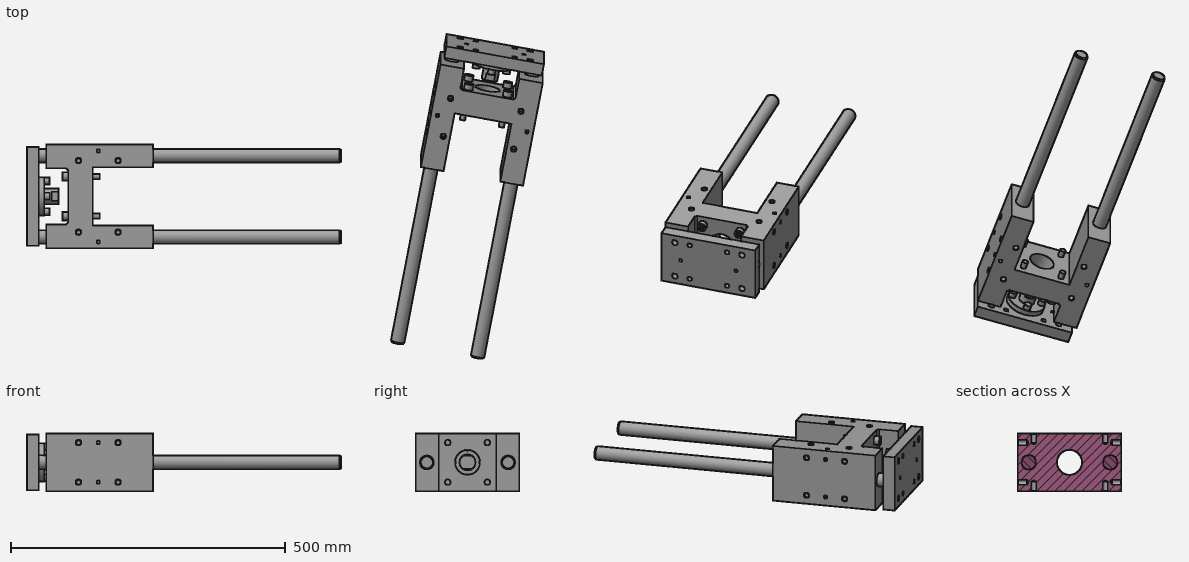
import cadquery as cq


HOUSING_START = 35.0
HOUSING_LENGTH = 194.5
HOUSING_WIDTH = 189.0
HOUSING_HEIGHT = 105.0
HOUSING_END = HOUSING_START + HOUSING_LENGTH
WEB_START = 75.0
WEB_THICKNESS = 45.0
WEB_END = WEB_START + WEB_THICKNESS
FRONT_POCKET_WIDTH = 102.0
REAR_POCKET_WIDTH = 105.0
POCKET_CHAMFER = 4.0
WEB_BORE_DIAMETER = 45.0

BOLT_PITCH = 72.0
MOUNT_CENTRE_X = 129.5
COUNTERSINK_DIAMETER = 10.0
THREAD_DIAMETER = 8.5
COUNTERSINK_DEPTH = 1.0
THREAD_DEPTH = 17.0
DRILL_TIP_LENGTH = 2.0
TOP_THREAD_Y = 65.0
DOWEL_DIAMETER = 6.0
DOWEL_DEPTH = 8.5
TOP_DOWEL_Y = 83.0

SCREW_HEAD_DIAMETER = 16.0
SCREW_HEAD_LENGTH = 10.0
SCREW_SHANK_DIAMETER = 10.0
SCREW_END_LENGTH = 12.5
SOCKET_SIDES = 6
SOCKET_DIAMETER = 9.0
SOCKET_DEPTH = 5.0

PLATE_THICKNESS = 21.5
PLATE_WIDTH = 180.5
PLATE_HEIGHT = 102.0
PLATE_OUTER_HOLE_DIAMETER = 11.0
PLATE_OUTER_HOLE_Y = 64.5
PLATE_INNER_HOLE_DIAMETER = 8.5
PLATE_DOWEL_DIAMETER = 5.5
PLATE_DOWEL_Y = 53.0
ROD_DIAMETER = 25.0
ROD_SPACING = 148.0
ROD_END = 571.0
ROD_CHAMFER_LENGTH = 3.0
ROD_CHAMFER_INSET = 1.5
FLANGE_DIAMETER = 70.0
FLANGE_THICKNESS = 9.5
FLANGE_SCREW_RADIUS = 28.0
FLANGE_SCREW_COUNT = 4
FLANGE_SCREW_DIAMETER = 13.0
FLANGE_SCREW_LENGTH = 9.5
HUB_DIAMETER = 29.0
HUB_LENGTH = 26.0
FLAT_LENGTH = 12.5
FLATS_WIDTH = 24.0

ROD_POINTS = [(-ROD_SPACING / 2, 0), (ROD_SPACING / 2, 0)]
BOLT_POINTS = [(y * BOLT_PITCH / 2, z * BOLT_PITCH / 2) for y in (-1, 1) for z in (-1, 1)]


def cross_plane(x):
    """Workplane normal to X whose local axes are Y and Z."""
    return cq.Workplane("YZ", origin=(x, 0, 0))


def bars_along_x(start, end, diameter, points):
    """Round bars along X, one at each (Y, Z) point."""
    return cross_plane(start).pushPoints(points).circle(diameter / 2).extrude(end - start)


def outer_face(origin, normal):
    """Workplane on an outer face of the housing, with its local X along X."""
    return cq.Workplane(cq.Plane(origin=origin, xDir=(1, 0, 0), normal=normal))


def block_along_x(start, end, width, height):
    """Block centred on the X axis."""
    return cross_plane(start).rect(width, height).extrude(end - start)


def drill(plane, points, diameter, depth):
    """Round tool sunk below an outward-facing workplane."""
    return plane.pushPoints(points).circle(diameter / 2).extrude(-depth)


def taper(plane, points, depth, diameter, tip_diameter, length):
    """Conical tool that starts at a depth below a workplane and narrows inward."""
    cone = cq.Solid.makeCone(diameter / 2, tip_diameter / 2, length, dir=cq.Vector(0, 0, -1))
    starts = plane.workplane(offset=-depth).pushPoints(points)
    return starts.eachpoint(lambda place: cone.moved(place), useLocalCoordinates=True)


def housing_block():
    """H-shaped block with its rod bores and the bore through the web."""
    front_pocket = block_along_x(HOUSING_START, WEB_START, FRONT_POCKET_WIDTH, HOUSING_HEIGHT)
    front_pocket = front_pocket.edges("|Z and >X").chamfer(POCKET_CHAMFER)
    rear_pocket = block_along_x(WEB_END, HOUSING_END, REAR_POCKET_WIDTH, HOUSING_HEIGHT)
    block = block_along_x(HOUSING_START, HOUSING_END, HOUSING_WIDTH, HOUSING_HEIGHT)
    block = block.cut(front_pocket).cut(rear_pocket)
    block = block.cut(bars_along_x(HOUSING_START, HOUSING_END, ROD_DIAMETER, ROD_POINTS))
    return block.cut(bars_along_x(WEB_START, WEB_END, WEB_BORE_DIAMETER, [(0, 0)]))


def cut_mounting_holes(block, plane, thread_offset, dowel_offset):
    """Four threaded holes and two dowel holes in one outer face."""
    thread_points = [
        (MOUNT_CENTRE_X + along * BOLT_PITCH / 2, across * thread_offset)
        for along in (-1, 1)
        for across in (-1, 1)
    ]
    dowel_points = [(MOUNT_CENTRE_X, across * dowel_offset) for across in (-1, 1)]
    thread_bores = drill(plane, thread_points, THREAD_DIAMETER, THREAD_DEPTH)
    countersinks = taper(plane, thread_points, 0, COUNTERSINK_DIAMETER, THREAD_DIAMETER, COUNTERSINK_DEPTH)
    drill_tips = taper(plane, thread_points, THREAD_DEPTH, THREAD_DIAMETER, 0, DRILL_TIP_LENGTH)
    block = block.cut(thread_bores).cut(countersinks).cut(drill_tips)
    return block.cut(drill(plane, dowel_points, DOWEL_DIAMETER, DOWEL_DEPTH))


def web_screws():
    """Socket screws: a head in front of the web and a threaded end behind it."""
    head_start = WEB_START - SCREW_HEAD_LENGTH
    heads = bars_along_x(head_start, WEB_START, SCREW_HEAD_DIAMETER, BOLT_POINTS)
    socket_outlines = cross_plane(head_start).pushPoints(BOLT_POINTS).polygon(SOCKET_SIDES, SOCKET_DIAMETER)
    sockets = socket_outlines.extrude(SOCKET_DEPTH)
    ends = bars_along_x(WEB_END, WEB_END + SCREW_END_LENGTH, SCREW_SHANK_DIAMETER, BOLT_POINTS)
    return heads.cut(sockets), ends


def make_housing():
    """Block with the same mounting holes on opposite faces, joined to its web screws."""
    body = housing_block()
    for side in (-1, 1):
        level_face = outer_face((0, 0, side * HOUSING_HEIGHT / 2), (0, 0, side))
        upright_face = outer_face((0, side * HOUSING_WIDTH / 2, 0), (0, side, 0))
        body = cut_mounting_holes(body, level_face, TOP_THREAD_Y, TOP_DOWEL_Y)
        body = cut_mounting_holes(body, upright_face, BOLT_PITCH / 2, BOLT_PITCH / 2)
    for screw_part in web_screws():
        body = body.union(screw_part)
    return body


def front_plate():
    """Plate with rows of through holes."""
    outer_points = [(y * PLATE_OUTER_HOLE_Y, z * BOLT_PITCH / 2) for y in (-1, 1) for z in (-1, 1)]
    dowel_points = [(-PLATE_DOWEL_Y, 0), (PLATE_DOWEL_Y, 0)]
    plate = block_along_x(0, PLATE_THICKNESS, PLATE_WIDTH, PLATE_HEIGHT)
    plate = plate.cut(bars_along_x(0, PLATE_THICKNESS, PLATE_OUTER_HOLE_DIAMETER, outer_points))
    plate = plate.cut(bars_along_x(0, PLATE_THICKNESS, PLATE_INNER_HOLE_DIAMETER, BOLT_POINTS))
    return plate.cut(bars_along_x(0, PLATE_THICKNESS, PLATE_DOWEL_DIAMETER, dowel_points))


def guide_rod(y):
    """Guide rod with a tapered free end, turned about its own axis."""
    radius = ROD_DIAMETER / 2
    return (
        cq.Workplane("XY", origin=(0, y, 0))
        .moveTo(PLATE_THICKNESS, 0)
        .lineTo(PLATE_THICKNESS, radius)
        .lineTo(ROD_END - ROD_CHAMFER_LENGTH, radius)
        .lineTo(ROD_END, radius - ROD_CHAMFER_INSET)
        .lineTo(ROD_END, 0)
        .close()
        .revolve(360, (0, 0, 0), (1, 0, 0))
    )


def coupling():
    """Flange with four screw heads and a hub that has two spanner flats at its end."""
    flange_end = PLATE_THICKNESS + FLANGE_THICKNESS
    hub_end = flange_end + HUB_LENGTH
    flats_start = hub_end - FLAT_LENGTH
    flange = bars_along_x(PLATE_THICKNESS, flange_end, FLANGE_DIAMETER, [(0, 0)])
    screw_heads = (
        cross_plane(flange_end)
        .polarArray(FLANGE_SCREW_RADIUS, 0, 360, FLANGE_SCREW_COUNT)
        .circle(FLANGE_SCREW_DIAMETER / 2)
        .extrude(FLANGE_SCREW_LENGTH)
    )
    hub = bars_along_x(flange_end, flats_start, HUB_DIAMETER, [(0, 0)])
    hub_tip = bars_along_x(flats_start, hub_end, HUB_DIAMETER, [(0, 0)])
    hub_tip = hub_tip.intersect(block_along_x(flats_start, hub_end, HUB_DIAMETER, FLATS_WIDTH))
    return flange.union(screw_heads).union(hub).union(hub_tip)


def make_slide():
    """Plate, coupling and guide rods in one piece."""
    body = front_plate().union(coupling())
    for y, _ in ROD_POINTS:
        body = body.union(guide_rod(y))
    return body


housing = make_housing()
slide = make_slide()

result = cq.Compound.makeCompound([housing.val(), slide.val()])